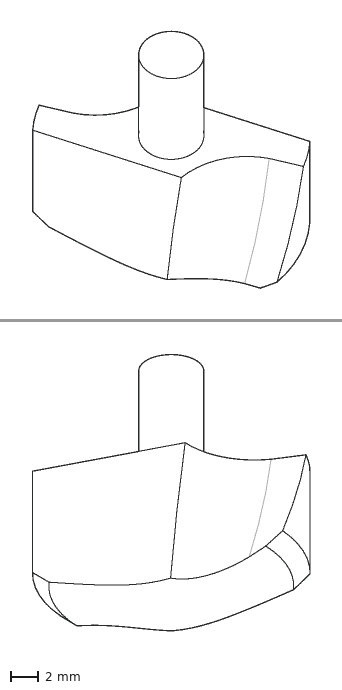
import cadquery as cq
import math

head_diameter = 20.39
head_thickness = 7.17
head_height = 12.5
total_height = 21.1
shank_diameter = 4.8

point_angle = 17.0
corner_width = 1.2
corner_height = 1.1

helix_angle = 25.0
flute_face_angle = 6.0
flute_face_start = 7.55
gullet_middle = (3.9, -1.09)
gullet_end = (2.39, -head_thickness / 2)
wall_angle = 72.0
flute_count = 2

head_radius = head_diameter / 2
clearance = 2.0


def make_head():
    """Revolved head with a conical point, cut down to a flat slab."""
    cone_radius = head_radius - corner_width
    cone_height = cone_radius * math.tan(math.radians(point_angle))
    turned = (
        cq.Workplane("XZ")
        .moveTo(0, 0)
        .lineTo(cone_radius, cone_height)
        .lineTo(head_radius, cone_height + corner_height)
        .lineTo(head_radius, head_height)
        .lineTo(0, head_height)
        .close()
        .revolve(360, (0, 0), (0, 1))
    )
    slab = cq.Workplane("XY").box(
        head_diameter + clearance, head_thickness, head_height, centered=(True, True, False)
    )
    return turned.intersect(slab)


def make_shank():
    """Round shank standing on top of the head."""
    shank_length = total_height - head_height
    return (
        cq.Workplane("XY")
        .workplane(offset=head_height)
        .circle(shank_diameter / 2)
        .extrude(shank_length)
    )


def make_flute():
    """Twisted cutter for the flute on the -Y side of the +X wing."""
    face_angle = math.radians(flute_face_angle)
    face_x = math.cos(face_angle)
    face_y = math.sin(face_angle)
    outer_radius = head_radius + clearance
    wall_bottom = gullet_end[1] - clearance
    wall_shift = clearance / math.tan(math.radians(wall_angle))
    twist_per_mm = math.degrees(math.tan(math.radians(helix_angle)) / head_radius)
    twist = twist_per_mm * head_height
    return (
        cq.Workplane("XY")
        .moveTo(outer_radius * face_x, outer_radius * face_y)
        .lineTo(flute_face_start * face_x, flute_face_start * face_y)
        .threePointArc(gullet_middle, gullet_end)
        .lineTo(gullet_end[0] - wall_shift, wall_bottom)
        .lineTo(outer_radius * face_x, wall_bottom)
        .close()
        .twistExtrude(head_height, twist)
        .rotate((0, 0, 0), (0, 0, 1), -twist)
    )


head = make_head()
flute = make_flute()
for index in range(flute_count):
    turn = index * 360 / flute_count
    head = head.cut(flute.rotate((0, 0, 0), (0, 0, 1), turn))

result = head.union(make_shank())